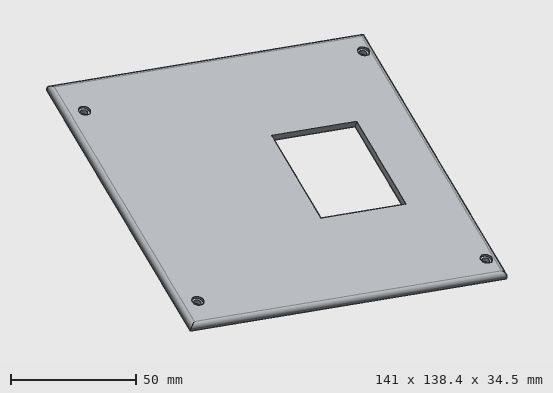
import cadquery as cq

plate_width = 141.0
plate_length = 141.7
plate_thickness = 3.1
edge_radius = 2.0
tilt_angle = 13.0

window_width = 48.2
window_length = 38.0
window_center = (0.4, 27.0)

hole_diameter = 3.0
counterbore_diameter = 5.0
counterbore_depth = 1.0
front_row = -62.3
hole_centers = [
    (-60.3, 66.0),
    (60.8, 65.5),
    (-53.3, front_row),
    (57.8, front_row),
]


def make_plate():
    """Plate lying flat on Z = 0 with its upper rim rounded."""
    plate = cq.Workplane("XY").box(
        plate_width, plate_length, plate_thickness, centered=(True, True, False)
    )
    return plate.faces(">Z").edges().fillet(edge_radius)


def cut_window(plate):
    window = (
        cq.Workplane("XY")
        .center(*window_center)
        .rect(window_width, window_length)
        .extrude(plate_thickness)
    )
    return plate.cut(window)


def cut_screw_holes(plate):
    top_plane = cq.Workplane("XY").workplane(offset=plate_thickness).pushPoints(hole_centers)
    holes = top_plane.circle(hole_diameter / 2).extrude(-plate_thickness)
    counterbores = top_plane.circle(counterbore_diameter / 2).extrude(-counterbore_depth)
    return plate.cut(holes).cut(counterbores)


flat_plate = cut_screw_holes(cut_window(make_plate()))
result = flat_plate.rotate((0, 0, 0), (1, 0, 0), -tilt_angle)